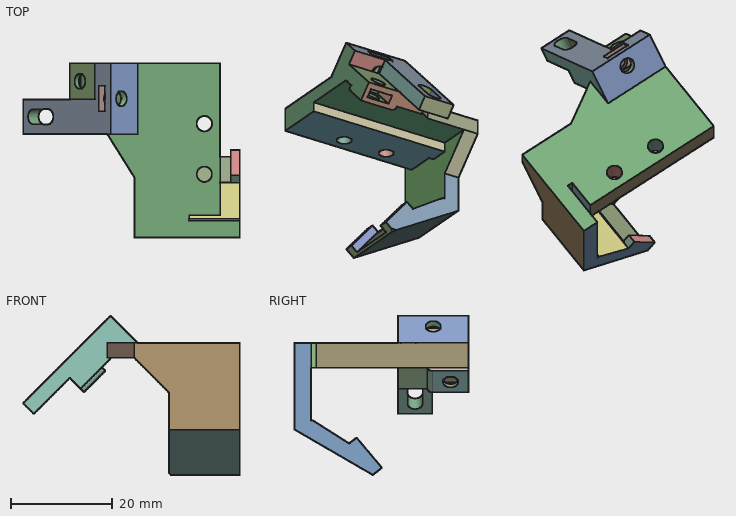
import cadquery as cq
import math


depth = 34.5
plate_thick = 3.0
plate_right = -3.9
plate_left = -26.25
knee_x = -20.9
knee_y = 11.9
pad_thick = 4.98
hole_dia = 3.0
plate_hole_x = -7.05
plate_hole_ys = (12.55, 22.53)

wall_thick = 3.3
clip_width = 14.07
slit_width = 1.07
slit_length = 10.05
clip_bottom = -26.18
wall_inner_bottom = -15.35
wall_outer_bottom = -17.15
ledge_y = 3.7
tooth_foot = (10.85, -19.9)
tooth_peak = (12.3, -18.75)
tip_y = 17.35
tip_z = -24.7
tip_bottom_y = 15.55
tooth_side_left = 1.95
tooth_side_right = 1.85
tooth_relief_end = 16.0
corner_chamfer = 0.45

apex_z = 5.35
arm_front = 20.45
arm_length = 24.5
overall_length = 42.9
apex_x = arm_length / math.sqrt(2) - overall_length
tongue_thick = 3.0
tongue_length = 10.05
body_end = arm_length - tongue_length
body_thick = 6.0
tongue_side = 27.35
recess_start = 4.45
boss_height = 1.0
boss_length = 6.0
slot_length = 7.05
slot_u = 19.6
slot_y = (arm_front + tongue_side) / 2
nut_width = 5.0
nut_thick = 1.8
end_nut_depth = 4.7
cross_nut_depth = 5.5
cross_hole_u = 11.6
cross_hole_y = (tongue_side + depth) / 2
nut_v = 5.1
end_hole_y = (arm_front + depth) / 2
end_nut_u = 2.5

OVERRUN = 0.45


def box(x0, x1, y0, y1, z0, z1):
    """Box given by its limits along each axis."""
    return cq.Workplane("XY").box(x1 - x0, y1 - y0, z1 - z0, centered=False).translate((x0, y0, z0))


def make_plate():
    outline = [
        (0, 0),
        (0, wall_thick),
        (plate_right, wall_thick),
        (plate_right, depth),
        (plate_left, depth),
        (plate_left, arm_front),
        (knee_x, knee_y),
        (knee_x, 0),
    ]
    plate = cq.Workplane("XY").polyline(outline).close().extrude(-plate_thick)
    pad = box(-clip_width, plate_right, wall_thick, depth, -pad_thick, 0)
    return plate.union(pad)


def make_wall():
    slope_drop = -knee_x - clip_width
    outline = [
        (0, 0),
        (knee_x, 0),
        (knee_x, -plate_thick),
        (-clip_width, -plate_thick - slope_drop),
        (-clip_width, wall_outer_bottom),
        (0, wall_outer_bottom),
    ]
    return cq.Workplane("XZ").polyline(outline).close().extrude(-wall_thick)


def make_hook():
    outline = [
        (0, wall_inner_bottom),
        (ledge_y, wall_inner_bottom),
        tooth_foot,
        tooth_peak,
        (tip_y, tip_z),
        (tip_bottom_y, clip_bottom),
        (0, wall_outer_bottom),
    ]
    hook = cq.Workplane("YZ").polyline(outline).close().extrude(-clip_width)

    front_slope = (tip_z - tooth_peak[1]) / (tip_y - tooth_peak[0])
    tip_slope = (tip_z - clip_bottom) / (tip_y - tip_bottom_y)
    relief_z = tip_z - tip_slope * (tip_y - tooth_relief_end)
    relief_start_z = relief_z - front_slope * (tooth_relief_end - tooth_foot[0])
    relief = (
        cq.Workplane("YZ", origin=(-tooth_side_right, 0, 0))
        .polyline([
            (tooth_foot[0], relief_start_z),
            (tooth_relief_end, relief_z),
            (tip_y + OVERRUN, relief_z),
            (tip_y + OVERRUN, wall_inner_bottom),
            (tooth_foot[0], wall_inner_bottom),
        ])
        .close()
        .extrude(-(clip_width - tooth_side_left - tooth_side_right))
    )

    bevel = (
        cq.Workplane("XZ")
        .polyline([
            (-clip_width, clip_bottom),
            (-clip_width + corner_chamfer, clip_bottom),
            (-clip_width, clip_bottom + corner_chamfer),
        ])
        .close()
        .extrude(-depth)
    )
    return hook.cut(relief).cut(bevel)


def slope_plane(y):
    """Plane of the arm's side at the given Y: local x is u, local y is v, normal is -Y."""
    return cq.Plane(origin=(apex_x, y, apex_z), xDir=(-1, 0, -1), normal=(0, -1, 0))


def arm_prism(points, y0, y1):
    """Extrude a (u, v) outline from y0 to y1."""
    return cq.Workplane(slope_plane(y0)).polyline(points).close().extrude(y0 - y1)


def arm_box(u0, u1, v0, v1, y0, y1):
    return arm_prism([(u0, v0), (u1, v0), (u1, v1), (u0, v1)], y0, y1)


def make_arm():
    to_plate_top = apex_z * math.sqrt(2)
    to_plate_bottom = (apex_z + plate_thick) * math.sqrt(2)
    body = arm_prism(
        [
            (0, 0),
            (arm_length, 0),
            (arm_length, tongue_thick),
            (body_end, tongue_thick),
            (body_end, body_thick),
            (to_plate_bottom - body_thick, body_thick),
            (0, to_plate_top),
        ],
        arm_front,
        depth,
    )
    boss = arm_box(
        body_end - boss_length, body_end, body_thick - boss_height, body_thick + boss_height,
        tongue_side - boss_height, depth,
    )
    boss = boss.edges(cq.selectors.NearestToPointSelector(
        slope_plane(tongue_side - boss_height)
        .toWorldCoords((body_end - boss_length / 2, body_thick + boss_height, 0)).toTuple()
    )).fillet(boss_height)
    body = body.union(boss)

    recess = arm_box(recess_start, body_end, -OVERRUN, tongue_thick, tongue_side, depth + OVERRUN)
    tongue_gap = arm_box(body_end, arm_length + OVERRUN, -OVERRUN, body_thick, tongue_side, depth + OVERRUN)
    return body.cut(recess).cut(tongue_gap)


def face_plane():
    """Outer sloping face of the arm: local x is u, local y is Y, normal is v."""
    return cq.Plane(origin=(apex_x, 0, apex_z), xDir=(-1, 0, -1), normal=(1, 0, -1))


def cut_arm_openings(part):
    face = cq.Workplane(face_plane())
    slot = face.center(slot_u, slot_y).slot2D(slot_length, hole_dia).extrude(tongue_thick)
    cross_hole = (
        face.center(cross_hole_u, cross_hole_y)
        .circle(hole_dia / 2)
        .extrude(body_thick + boss_height)
    )
    cross_nut = arm_box(
        body_end - cross_nut_depth, body_end, nut_v - nut_thick / 2, nut_v + nut_thick / 2,
        cross_hole_y - nut_width / 2, cross_hole_y + nut_width / 2,
    )
    end_plane = cq.Plane(
        origin=slope_plane(end_hole_y).toWorldCoords((0, tongue_thick, 0)).toTuple(),
        xDir=(0, 1, 0),
        normal=(-1, 0, -1),
    )
    end_hole = cq.Workplane(end_plane).circle(hole_dia / 2).extrude(recess_start)
    end_nut = arm_box(
        end_nut_u - nut_thick / 2, end_nut_u + nut_thick / 2, 0, end_nut_depth,
        end_hole_y - nut_width / 2, end_hole_y + nut_width / 2,
    )
    for opening in (slot, cross_hole, cross_nut, end_hole, end_nut):
        part = part.cut(opening)
    return part


def cut_plate_openings(part):
    slit = box(-slit_length, 0, wall_thick, wall_thick + slit_width, -pad_thick, 0)
    holes = (
        cq.Workplane("XY")
        .pushPoints([(plate_hole_x, y) for y in plate_hole_ys])
        .circle(hole_dia / 2)
        .extrude(-pad_thick)
    )
    return part.cut(slit).cut(holes)


bracket = make_plate().union(make_wall()).union(make_hook()).union(make_arm())
result = cut_plate_openings(cut_arm_openings(bracket))